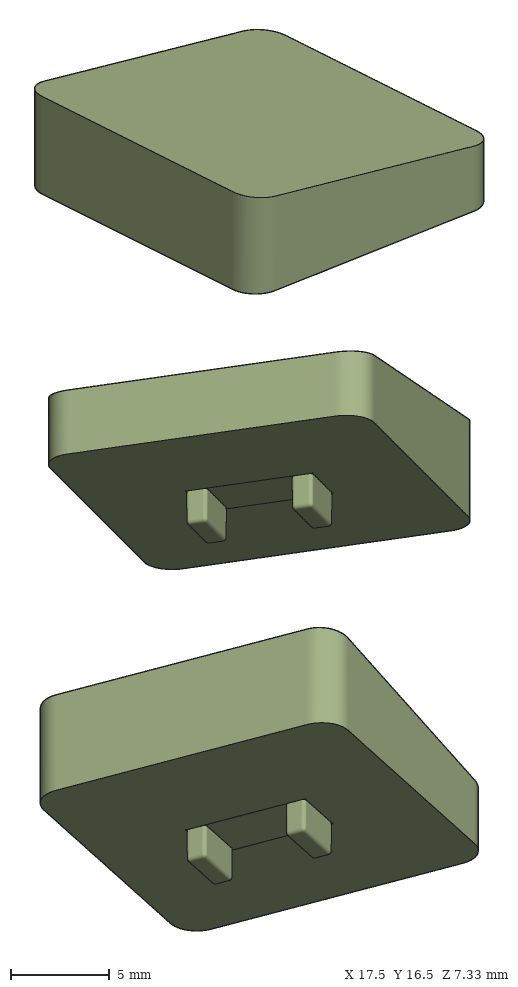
import math

import cadquery as cq

cap_width = 17.5
cap_length = 16.5
cap_front_height = 5.53
cap_back_height = 3.5
cap_corner_radius = 1.5

overall_height = 7.33
prong_drop = overall_height - cap_front_height
prong_spacing = 5.7
prong_width = 1.15
prong_draft_angle = 0.5
prong_length = 2.95
prong_edge_radius = 0.2
bridge_depth = 0.88
bridge_width = prong_spacing + prong_width


def make_bridge():
    """Rectangular bar joining the prongs, flush with the cap underside."""
    return cq.Workplane("XY").box(
        bridge_width, prong_length, bridge_depth, centered=(True, True, False)
    )


def make_cap():
    """Wedge falling from front to back, with a recess for the stem bridge."""
    half_length = cap_length / 2
    wedge = (
        cq.Workplane("YZ")
        .polyline([
            (-half_length, 0),
            (half_length, 0),
            (half_length, cap_back_height),
            (-half_length, cap_front_height),
        ])
        .close()
        .extrude(cap_width / 2, both=True)
    )
    rounded = wedge.edges("|Z").fillet(cap_corner_radius)
    return rounded.cut(make_bridge())


def make_prong(center_x):
    """Blade with flanks tapering downward, rounded corners and a rounded lower rim."""
    root_half = prong_width / 2
    tip_half = root_half - prong_drop * math.tan(math.radians(prong_draft_angle))
    blade = (
        cq.Workplane("XZ")
        .polyline([
            (-root_half, 0),
            (root_half, 0),
            (tip_half, -prong_drop),
            (-tip_half, -prong_drop),
        ])
        .close()
        .extrude(prong_length / 2, both=True)
    )
    rounded = blade.edges("not >Z").fillet(prong_edge_radius)
    return rounded.translate((center_x, 0, 0))


def make_stem():
    """Bridge and both prongs as one solid."""
    stem = make_bridge()
    for side in (-1, 1):
        stem = stem.union(make_prong(side * prong_spacing / 2))
    return stem


cap = make_cap()
stem = make_stem()

result = cq.Compound.makeCompound([cap.val(), stem.val()])